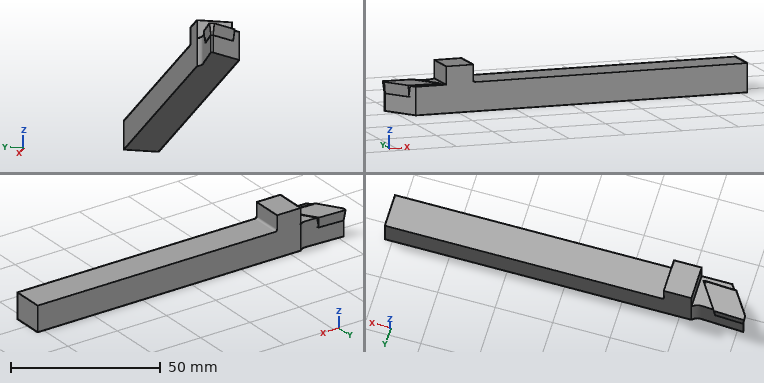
import cadquery as cq
import math

length = 125.0
width = 12.0
shank_height = 10.0
boss_top = 16.0
boss_start = 18.2
boss_end = 27.9
boss_fillet = 0.8
nose_height = 9.8

insert_top = 10.0
insert_thickness = 4.0
flank_taper = 7.5
tip_taper = 6.0
tip_land = 1.6
front_angle = 33.6
side_angle = 2.5
insert_near_y = 2.0
insert_back_x = 16.4
rear_tip_x = 17.2

relief_arc_start = 15.2
relief_depth = 1.2

front_slope = math.tan(math.radians(front_angle))
side_slope = math.tan(math.radians(side_angle))
flank_inset = insert_thickness * math.tan(math.radians(flank_taper))
tip_inset = insert_thickness * math.tan(math.radians(tip_taper))

front_edge_x = (width - tip_land) * front_slope
front_tip_x = -tip_land * front_slope / (1 - front_slope * side_slope)
front_tip = (front_tip_x, width - front_tip_x * side_slope)
front_corner = (front_edge_x - insert_near_y * front_slope, insert_near_y)
rear_tip = (rear_tip_x, insert_near_y - (rear_tip_x - front_corner[0]) * side_slope)
far_corner = (
    front_tip[0] + rear_tip[0] - front_corner[0],
    front_tip[1] + rear_tip[1] - front_corner[1],
)


def make_sharp_plate():
    """Parallelogram plate with sharp tips, narrowing downwards; it also forms the pocket."""
    return (
        cq.Workplane("XY")
        .workplane(offset=insert_top)
        .polyline([front_tip, front_corner, rear_tip, far_corner])
        .close()
        .extrude(-insert_thickness, taper=flank_taper)
    )


def make_insert():
    insert_bottom = insert_top - insert_thickness
    tip_trim = (
        cq.Workplane("XZ")
        .moveTo(0, insert_top)
        .lineTo(insert_back_x, insert_top)
        .lineTo(insert_back_x - tip_inset, insert_bottom)
        .lineTo(tip_inset, insert_bottom)
        .close()
        .extrude(-width)
    )
    return make_sharp_plate().intersect(tip_trim)


def holder_plan():
    """Plan of the bar; its nose follows the bottom edges of the insert."""
    nose_x = tip_inset
    heel_x = front_edge_x + flank_inset / math.cos(math.radians(front_angle))
    nose_near_y = (heel_x - nose_x) / front_slope
    nose_far_y = width - nose_x * side_slope - flank_inset / math.cos(math.radians(side_angle))
    return (
        cq.Workplane("XY")
        .moveTo(heel_x, 0)
        .lineTo(nose_x, nose_near_y)
        .lineTo(nose_x, nose_far_y)
        .lineTo(relief_arc_start, width - relief_depth)
        .tangentArcPoint((boss_start, width), relative=False)
        .lineTo(length, width)
        .lineTo(length, 0)
        .close()
    )


def make_holder():
    profile = (
        cq.Workplane("XZ")
        .moveTo(0, 0)
        .lineTo(length, 0)
        .lineTo(length, shank_height)
        .lineTo(boss_end + boss_fillet, shank_height)
        .radiusArc((boss_end, shank_height + boss_fillet), boss_fillet)
        .lineTo(boss_end, boss_top)
        .lineTo(boss_start, boss_top)
        .lineTo(boss_start, nose_height)
        .lineTo(0, nose_height)
        .close()
        .extrude(-width)
    )
    bar = holder_plan().extrude(boss_top)
    return bar.intersect(profile).cut(make_sharp_plate())


holder = make_holder()
insert = make_insert()
result = cq.Compound.makeCompound([holder.solids().val(), insert.solids().val()])